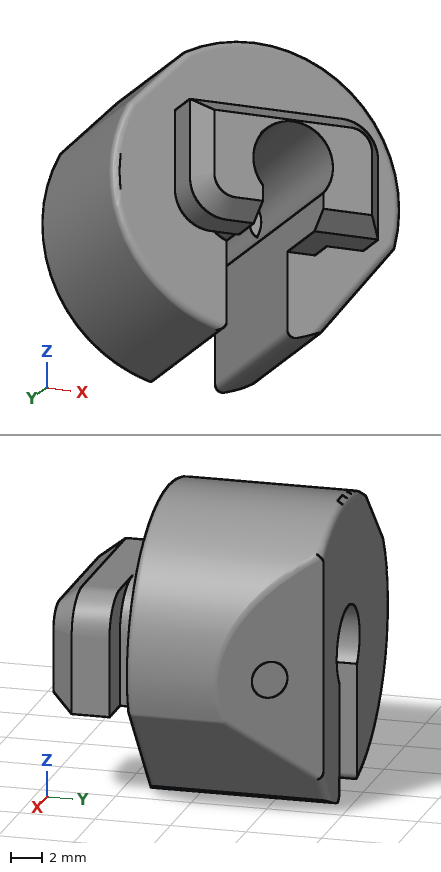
import cadquery as cq
import math

knob_radius = 10.0
knob_length = 12.0
edge_round = 0.5

upper_flat_angle = 135.0
upper_flat_distance = 9.605
lower_flat_angle = -38.85
lower_flat_distance = 9.165

slant_angle = 34.2
slant_length = 6.0

bore_radius = 2.75
slot_width = 4.2

key_height = 7.8
neck_width = 8.0
neck_length = 2.0
neck_corner_radius = 3.0
head_width = 13.0
head_length = 4.0
head_corner_radius = 2.5
head_chamfer_length = 1.5
head_chamfer_angle = 35.0

screw_radius = 1.2
screw_tip_edge_x = 2.27

upper_flat_half_angle = math.degrees(math.acos(upper_flat_distance / knob_radius))
lower_flat_half_angle = math.degrees(math.acos(lower_flat_distance / knob_radius))
upper_flat_ends = (upper_flat_angle - upper_flat_half_angle, upper_flat_angle + upper_flat_half_angle)
lower_flat_top_end = lower_flat_angle + lower_flat_half_angle
lower_flat_bottom_end = lower_flat_angle - lower_flat_half_angle

part_length = knob_length + neck_length + head_length
head_chamfer_width = head_chamfer_length * math.tan(math.radians(head_chamfer_angle))
slant_cos = math.cos(math.radians(slant_angle))
slant_sin = math.sin(math.radians(slant_angle))
slant_width = slant_length * slant_sin / slant_cos

screw_start = cq.Vector(knob_radius - slant_width / 2, knob_length - slant_length / 2, 0)
screw_direction = cq.Vector(-slant_cos, -slant_sin, 0)
screw_tip_center_x = screw_tip_edge_x + screw_radius * slant_sin
screw_length = (screw_start.x - screw_tip_center_x) / slant_cos


def rim_point(angle):
    """Point on the rim, halfway along the knob."""
    turn = math.radians(angle)
    return cq.Vector(knob_radius * math.cos(turn), knob_length / 2, knob_radius * math.sin(turn))


def flat_cutter(angle, distance):
    """Block that removes everything beyond a flat."""
    size = 2 * knob_radius
    block = cq.Workplane("XY").box(size, 2 * knob_length, size).translate((distance + size / 2, 0, 0))
    return block.rotate((0, 0, 0), (0, 1, 0), -angle)


def slant_cutter():
    """Wedge outside the slanted face."""
    return (
        cq.Workplane("XY", origin=(0, 0, -knob_radius))
        .moveTo(knob_radius, knob_length - slant_length)
        .lineTo(knob_radius - slant_width, knob_length)
        .lineTo(knob_radius, knob_length)
        .close()
        .extrude(2 * knob_radius)
    )


def keyhole_cutter():
    """Round bore with a slot that opens downwards, along knob and key."""
    back = cq.Workplane("XZ", origin=(0, knob_length, 0))
    bore = back.circle(bore_radius).extrude(part_length)
    slot = back.center(0, -knob_radius / 2).rect(slot_width, knob_radius).extrude(part_length)
    return bore.union(slot)


def slot_corner_cutter(side):
    """Prism that rounds the corner between a slot wall and the rim; side is -1 or 1."""
    center_radius = knob_radius - edge_round
    center_x = slot_width / 2 + edge_round
    center_z = -math.sqrt(center_radius**2 - center_x**2)
    wall_x = center_x - edge_round
    rim_x = center_x * knob_radius / center_radius
    rim_z = center_z * knob_radius / center_radius
    wall_direction = math.pi
    rim_direction = 2 * math.pi + math.atan2(center_z, center_x)
    middle_direction = (wall_direction + rim_direction) / 2
    middle_x = center_x + edge_round * math.cos(middle_direction)
    middle_z = center_z + edge_round * math.sin(middle_direction)
    return (
        cq.Workplane("XZ")
        .moveTo(side * wall_x, center_z)
        .threePointArc((side * middle_x, middle_z), (side * rim_x, rim_z))
        .lineTo(side * rim_x, -knob_radius)
        .lineTo(side * wall_x, -knob_radius)
        .close()
        .extrude(-knob_length)
    )


def is_rounded_rim_edge(edge):
    """True for the outer edges of the end and slanted faces, except the short arcs right of the slot."""
    middle = edge.positionAt(0.5)
    is_outer = math.hypot(middle.x, middle.z) > knob_radius - 2 * edge_round
    is_right_of_slot = 0 < middle.x < rim_point(lower_flat_bottom_end).x and middle.z < 0
    return is_outer and not is_right_of_slot


def key_block(width, corner_radius, length, back_y):
    """Block with its +X +Z and -X -Z corners rounded, reaching forwards from back_y."""
    block = cq.Workplane("XZ", origin=(0, back_y, 0)).rect(width, key_height).extrude(length)
    for selector in (">(1, 0, 1)", "<(1, 0, 1)"):
        block = block.edges("|Y").edges(selector).fillet(corner_radius)
    return block


def make_key():
    neck = key_block(neck_width, neck_corner_radius, neck_length, 0)
    head = key_block(head_width, head_corner_radius, head_length, -neck_length)
    head = head.faces("<Y").chamfer(head_chamfer_length, head_chamfer_width)
    return neck.union(head)


def make_knob_blank():
    """Disc with its two flats, their upper ends rounded, and the slanted face."""
    blank = cq.Workplane("XZ").circle(knob_radius).extrude(-knob_length)
    blank = blank.cut(flat_cutter(upper_flat_angle, upper_flat_distance))
    blank = blank.cut(flat_cutter(lower_flat_angle, lower_flat_distance))
    for angle in (*upper_flat_ends, lower_flat_top_end):
        flat_end = cq.selectors.NearestToPointSelector(rim_point(angle).toTuple())
        blank = blank.edges(flat_end).fillet(edge_round)
    return blank.cut(slant_cutter())


def make_screw():
    return cq.Workplane(cq.Solid.makeCylinder(screw_radius, screw_length, screw_start, screw_direction))


def make_body():
    """Knob and key in one piece, with the keyhole and the hole for the screw."""
    body = make_knob_blank().union(make_key()).cut(keyhole_cutter())
    rim_edges = [edge for edge in body.edges("not |Y").vals() if is_rounded_rim_edge(edge)]
    body = body.newObject(rim_edges).fillet(edge_round)
    for side in (-1, 1):
        body = body.cut(slot_corner_cutter(side))
    return body.cut(make_screw())


body = make_body()
screw = make_screw()

result = cq.Compound.makeCompound([body.solids().val(), screw.val()])